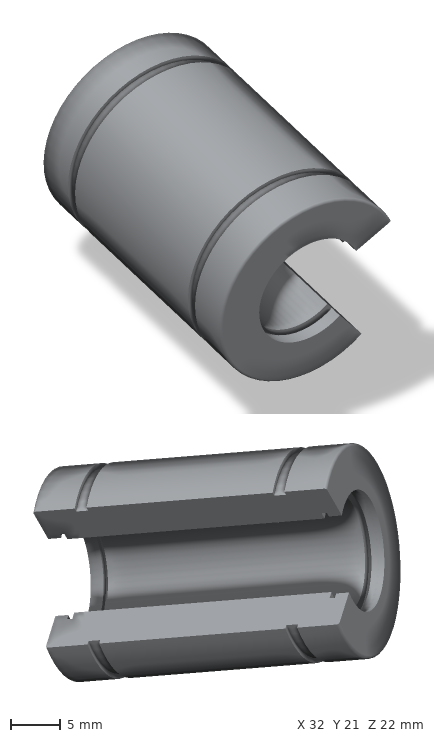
import cadquery as cq
import math

length = 32.0
outer_radius = 11.0
bore_radius = 5.95

end_bore_radius = 6.25
end_bore_depth = 2.0
undercut_radius = 6.88
undercut_width = 0.58

groove_radius = 10.5
groove_width = 1.28
groove_span = 22.85

edge_radius = 0.3
cut_clearance = 0.32

opening_above = 24.1
opening_below = 54.0


def cylinder_x(radius, start, depth):
    """Solid cylinder on the X axis, starting at the given X."""
    return cq.Workplane("YZ", origin=(start, 0, 0)).circle(radius).extrude(depth)


def bore():
    """Cutter for the main bore, the two end bores and their undercuts."""
    cutter = cylinder_x(bore_radius, -length / 2, length)
    for start in (-length / 2, length / 2 - end_bore_depth):
        cutter = cutter.union(cylinder_x(end_bore_radius, start, end_bore_depth))
    shoulder = length / 2 - end_bore_depth
    for start in (-shoulder - undercut_width, shoulder):
        cutter = cutter.union(cylinder_x(undercut_radius, start, undercut_width))
    return cutter


def sleeve():
    """Tube with rounded outer rims and a stepped bore."""
    body = cylinder_x(outer_radius, -length / 2, length)
    body = body.faces("<X or >X").edges().fillet(edge_radius)
    return body.cut(bore())


def groove(start):
    """Ring of material removed for one retaining ring."""
    ring = cylinder_x(outer_radius + cut_clearance, start, groove_width)
    return ring.cut(cylinder_x(groove_radius, start, groove_width))


def opening():
    """Wedge with its tip on the axis, reaching past the outer surface."""
    reach = 2 * outer_radius
    above = math.radians(opening_above)
    below = math.radians(-opening_below)
    return (
        cq.Workplane("YZ", origin=(-length / 2, 0, 0))
        .moveTo(0, 0)
        .lineTo(reach * math.cos(below), reach * math.sin(below))
        .lineTo(reach * math.cos(above), reach * math.sin(above))
        .close()
        .extrude(length)
    )


result = sleeve()
for groove_start in (-groove_span / 2, groove_span / 2 - groove_width):
    result = result.cut(groove(groove_start))
result = result.cut(opening())